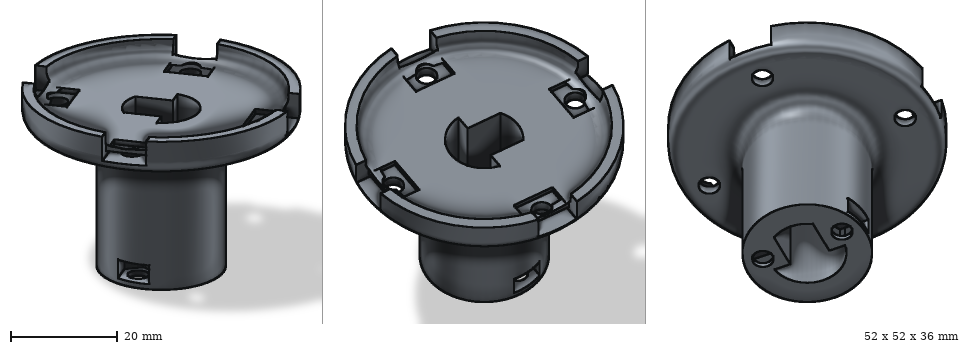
import cadquery as cq
import math

flange_diameter = 52.35
flange_radius = flange_diameter / 2
flange_height = 7.0
dish_depth = 4.0
rim_inner_radius = 24.0
flange_round = 3.0

total_height = 36.0
hub_radius = 24.4 / 2
neck_round = 5.0

bore_diameter = 14.7
bore_step_x = 1.15
bore_flat_width = 8.05

station_count = 4
station_width = 8.6
gap_inner_face = 23.05
channel_inner_face = 17.15
channel_depth = 1.0
flange_hole_diameter = 4.0
flange_hole_offset = 20.25

nut_across_flats = 6.45
nut_x = -2.2
nut_y = 8.15
nut_floor_z = 1.1
nut_height = 3.8
nut_hole_diameter = 4.0

flange_bottom_z = total_height - flange_height
dish_floor_z = total_height - dish_depth
channel_floor_z = dish_floor_z - channel_depth


def box_between(x_range, y_range, z_range):
    """Box spanning the given pairs of limits."""
    size = [high - low for low, high in (x_range, y_range, z_range)]
    corner = (x_range[0], y_range[0], z_range[0])
    return cq.Workplane("XY").box(*size, centered=False).translate(corner)


def make_body():
    """Hub, flared neck, flange and dish as one revolved profile."""
    diagonal = math.sqrt(0.5)
    neck_center = (hub_radius + neck_round, flange_bottom_z - neck_round)
    outer_center = (flange_radius - flange_round, flange_bottom_z + flange_round)
    dish_center = (rim_inner_radius - flange_round, dish_floor_z + flange_round)

    def arc_middle(center, radius, side_r, side_z):
        return (center[0] + side_r * radius * diagonal, center[1] + side_z * radius * diagonal)

    profile = (
        cq.Workplane("XZ")
        .lineTo(hub_radius, 0)
        .lineTo(hub_radius, neck_center[1])
        .threePointArc(arc_middle(neck_center, neck_round, -1, 1), (neck_center[0], flange_bottom_z))
        .lineTo(outer_center[0], flange_bottom_z)
        .threePointArc(arc_middle(outer_center, flange_round, 1, -1), (flange_radius, outer_center[1]))
        .lineTo(flange_radius, total_height)
        .lineTo(rim_inner_radius, total_height)
        .lineTo(rim_inner_radius, dish_center[1])
        .threePointArc(arc_middle(dish_center, flange_round, 1, -1), (dish_center[0], dish_floor_z))
        .lineTo(0, dish_floor_z)
        .close()
    )
    return profile.revolve(360, (0, 0, 0), (0, 1, 0))


def make_bore():
    """Cutter for the keyed through bore."""
    bore_radius = bore_diameter / 2
    height = (0, total_height)
    wide_half = box_between((bore_step_x, bore_radius), (-bore_radius, bore_radius), height)
    flat_half = box_between(
        (-bore_radius, bore_step_x), (-bore_flat_width / 2, bore_flat_width / 2), height
    )
    cylinder = cq.Workplane("XY").circle(bore_radius).extrude(total_height)
    return cylinder.intersect(wide_half.union(flat_half))


def make_station():
    """Cutter for the rim station on the +X side."""
    width = (-station_width / 2, station_width / 2)
    gap = box_between((gap_inner_face, flange_radius), width, (channel_floor_z, total_height))
    channel = box_between((channel_inner_face, flange_radius), width, (channel_floor_z, dish_floor_z))
    hole = (
        cq.Workplane("XY", origin=(flange_hole_offset, 0, flange_bottom_z))
        .circle(flange_hole_diameter / 2)
        .extrude(flange_height)
    )
    return gap.union(channel).union(hole)


def make_nut_pocket():
    """Cutter for the nut pocket and screw hole that open on the -Y side."""
    across_corners = nut_across_flats / math.cos(math.radians(30))
    hexagon = (
        cq.Workplane("XY", origin=(nut_x, -nut_y, nut_floor_z))
        .transformed(rotate=(0, 0, 90))
        .polygon(6, across_corners)
        .extrude(nut_height)
    )
    entry = box_between(
        (nut_x - nut_across_flats / 2, nut_x + nut_across_flats / 2),
        (-hub_radius, -nut_y),
        (nut_floor_z, nut_floor_z + nut_height),
    )
    hole = (
        cq.Workplane("XY", origin=(nut_x, -nut_y, 0))
        .circle(nut_hole_diameter / 2)
        .extrude(nut_floor_z)
    )
    return hexagon.union(entry).union(hole)


result = make_body().cut(make_bore())

station = make_station()
for index in range(station_count):
    angle = index * 360 / station_count
    result = result.cut(station.rotate((0, 0, 0), (0, 0, 1), angle))

nut_pocket = make_nut_pocket()
result = result.cut(nut_pocket).cut(nut_pocket.mirror("XZ"))